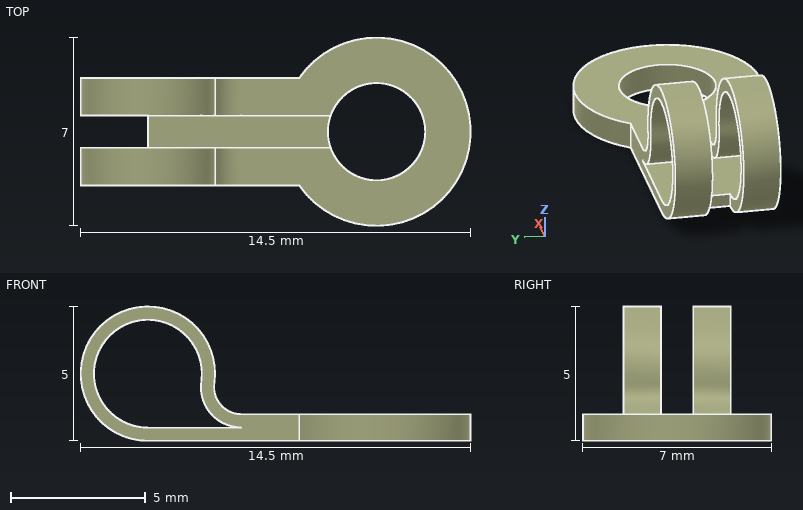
import cadquery as cq
import math

length = 14.49
loop_diameter = 5.0
loop_bore = 4.0
strap_width = 4.0
slot_width = 1.19
pad_diameter = 7.0
hole_diameter = 3.61
bend_inner_radius = 1.0

loop_radius = loop_diameter / 2
bore_radius = loop_bore / 2
thickness = loop_radius - bore_radius
stack_height = 2 * thickness
bend_outer_radius = bend_inner_radius + thickness
pad_x = length - loop_radius - pad_diameter / 2

bend_z = stack_height + bend_inner_radius
center_distance = loop_radius + bend_inner_radius
bend_x = math.sqrt(center_distance**2 - (loop_radius - bend_z) ** 2)
bend_angle = math.atan2(bend_z - loop_radius, bend_x)
bend_start = bend_angle + math.pi
bend_end = 1.5 * math.pi
bend_middle = (bend_start + bend_end) / 2


def loop_point(radius, angle):
    return radius * math.cos(angle), loop_radius + radius * math.sin(angle)


def bend_point(radius, angle):
    return bend_x + radius * math.cos(angle), bend_z + radius * math.sin(angle)


def make_strap():
    """Strip bent into a loop and reverse bend, with its two leaves lying together."""
    envelope = (
        cq.Workplane("XZ")
        .moveTo(pad_x, 0)
        .lineTo(0, 0)
        .threePointArc(loop_point(loop_radius, math.pi), loop_point(loop_radius, bend_angle))
        .threePointArc(bend_point(bend_inner_radius, bend_middle), (bend_x, stack_height))
        .lineTo(pad_x, stack_height)
        .close()
        .extrude(strap_width / 2, both=True)
    )
    opening = (
        cq.Workplane("XZ")
        .moveTo(bend_x, thickness)
        .threePointArc(
            bend_point(bend_outer_radius, bend_middle), loop_point(bore_radius, bend_angle)
        )
        .threePointArc(loop_point(bore_radius, math.pi), (0, thickness))
        .close()
        .extrude(strap_width / 2, both=True)
    )
    return envelope.cut(opening)


def make_slot():
    """Central slot through the loop and upper leaf, leaving the flat lower leaf whole."""
    profile = (
        cq.Workplane("XZ")
        .moveTo(-loop_radius, 0)
        .lineTo(0, 0)
        .lineTo(0, thickness)
        .lineTo(pad_x, thickness)
        .lineTo(pad_x, loop_diameter)
        .lineTo(-loop_radius, loop_diameter)
        .close()
    )
    return profile.extrude(slot_width / 2, both=True)


def pad_cylinder(diameter):
    """Cylinder on the pad axis through both leaves."""
    return cq.Workplane("XY").center(pad_x, 0).circle(diameter / 2).extrude(stack_height)


result = (
    make_strap()
    .union(pad_cylinder(pad_diameter))
    .cut(make_slot())
    .cut(pad_cylinder(hole_diameter))
)